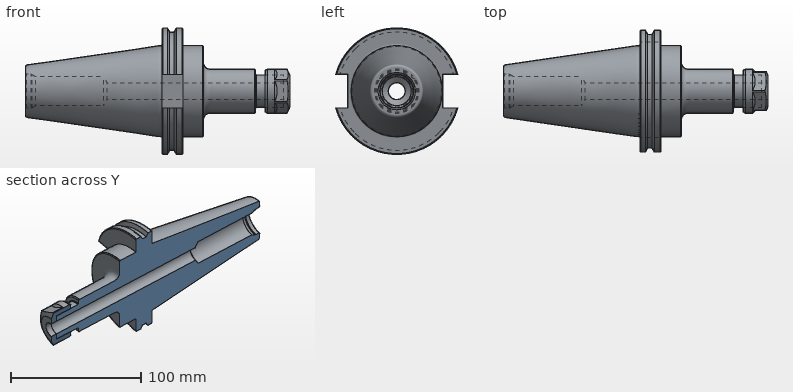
import cadquery as cq
import math


gauge_dia = 69.85
taper_ratio = 7 / 24
shank_end_x = -101.75
shank_end_dia = gauge_dia + taper_ratio * shank_end_x
shank_end_fillet = 2.0

land_start_x = 0.6
land_dia = gauge_dia + taper_ratio * land_start_x
root_fillet = 1.1

flange_dia = 97.25
flange_start_x = 3.2
flange_end_x = 19.1
flange_chamfer = 0.7
groove_center_x = 10.7
groove_width = 6.9
groove_bottom_dia = 91.0
groove_half_angle = 30

slot_width = 25.7
slot_floor_front = 35.5
slot_floor_back = 37.7

collar_dia = 70.2
collar_end_x = 35.0
collar_chamfer = 0.7
nose_dia = 34.0
nose_end_x = 75.0
nose_chamfer = 0.8
nose_fillet = 5.0
neck_dia = 25.0
neck_root_chamfer = 0.6

mouth_dia = 28.6
mouth_chamfer_depth = 0.7
counterbore_dia = 26.2
counterbore_depth = 4.1
step_dia = 25.6
step_length = 0.9
bore_dia = 22.23
bore_entry_half_angle = 30
bore_depth = 60.0
bore_bottom_half_angle = 60
through_dia = 12.75

nut_dia = 34.0
nut_start_x = 82.3
nut_end_x = 101.47
nut_back_chamfer_length = 1.7
nut_back_chamfer_height = 1.0
nut_hex_start_x = 89.6
nut_across_flats = 30.0
hexagon_sides = 6
nut_face_dia = 24.0
nut_face_chamfer_length = 2.3
nut_lip = 5.0
neck_end_x = nut_end_x - nut_lip


def turned(profile):
    """Revolve a closed half profile, drawn as (x, radius), about the X axis."""
    return profile.close().revolve(360, (0, 0, 0), (1, 0, 0))


def cone_length(big_dia, small_dia, half_angle):
    return (big_dia - small_dia) / 2 / math.tan(math.radians(half_angle))


def shank_blank():
    land_radius = land_dia / 2
    land_end_x = flange_start_x - root_fillet
    fillet_mid_run = root_fillet * math.sin(math.radians(45))
    fillet_mid_rise = root_fillet * (1 - math.cos(math.radians(45)))
    profile = (
        cq.Workplane("XY")
        .moveTo(shank_end_x, 0)
        .lineTo(shank_end_x, shank_end_dia / 2)
        .lineTo(land_start_x, land_radius)
        .lineTo(land_end_x, land_radius)
        .threePointArc(
            (land_end_x + fillet_mid_run, land_radius + fillet_mid_rise),
            (flange_start_x, land_radius + root_fillet),
        )
        .lineTo(flange_start_x, 0)
    )
    return turned(profile).faces("<X").edges().fillet(shank_end_fillet)


def flange():
    blank = (
        cq.Workplane("YZ", origin=(flange_start_x, 0, 0))
        .circle(flange_dia / 2)
        .extrude(flange_end_x - flange_start_x)
        .faces("<X or >X")
        .edges()
        .chamfer(flange_chamfer)
    )
    groove_depth = (flange_dia - groove_bottom_dia) / 2
    half_top = groove_width / 2
    half_bottom = half_top - groove_depth * math.tan(math.radians(groove_half_angle))
    groove = turned(
        cq.Workplane("XY")
        .moveTo(groove_center_x - half_top, flange_dia / 2)
        .lineTo(groove_center_x - half_bottom, groove_bottom_dia / 2)
        .lineTo(groove_center_x + half_bottom, groove_bottom_dia / 2)
        .lineTo(groove_center_x + half_top, flange_dia / 2)
    )
    return blank.cut(groove)


def driving_slots():
    slots = cq.Workplane("XY")
    slot_start_x = flange_start_x - root_fillet
    slot_length = flange_end_x - slot_start_x
    slot_depth = flange_dia / 2
    for side, floor in ((-1, slot_floor_front), (1, slot_floor_back)):
        center_y = side * (floor + slot_depth / 2)
        slot = cq.Workplane("XY").box(slot_length, slot_depth, slot_width)
        slots = slots.add(slot.translate((slot_start_x + slot_length / 2, center_y, 0)))
    return slots.combine()


def collar_and_nose():
    fillet_center_x = collar_end_x + nose_fillet
    fillet_center_radius = nose_dia / 2 + nose_fillet
    fillet_mid_offset = nose_fillet * math.sin(math.radians(45))
    fillet_mid = (fillet_center_x - fillet_mid_offset, fillet_center_radius - fillet_mid_offset)
    profile = (
        cq.Workplane("XY")
        .moveTo(flange_end_x, 0)
        .lineTo(flange_end_x, collar_dia / 2)
        .lineTo(collar_end_x - collar_chamfer, collar_dia / 2)
        .lineTo(collar_end_x, collar_dia / 2 - collar_chamfer)
        .lineTo(collar_end_x, fillet_center_radius)
        .threePointArc(fillet_mid, (fillet_center_x, nose_dia / 2))
        .lineTo(nose_end_x - nose_chamfer, nose_dia / 2)
        .lineTo(nose_end_x, nose_dia / 2 - nose_chamfer)
        .lineTo(nose_end_x, neck_dia / 2 + neck_root_chamfer)
        .lineTo(nose_end_x + neck_root_chamfer, neck_dia / 2)
        .lineTo(neck_end_x, neck_dia / 2)
        .lineTo(neck_end_x, 0)
    )
    return turned(profile)


def drawbar_bore():
    step_start_x = shank_end_x + counterbore_depth
    step_end_x = step_start_x + step_length
    bore_start_x = step_end_x + cone_length(step_dia, bore_dia, bore_entry_half_angle)
    bore_end_x = shank_end_x + bore_depth
    through_start_x = bore_end_x + cone_length(bore_dia, through_dia, bore_bottom_half_angle)
    profile = (
        cq.Workplane("XY")
        .moveTo(shank_end_x, 0)
        .lineTo(shank_end_x, mouth_dia / 2)
        .lineTo(shank_end_x + mouth_chamfer_depth, counterbore_dia / 2)
        .lineTo(step_start_x, counterbore_dia / 2)
        .lineTo(step_start_x, step_dia / 2)
        .lineTo(step_end_x, step_dia / 2)
        .lineTo(bore_start_x, bore_dia / 2)
        .lineTo(bore_end_x, bore_dia / 2)
        .lineTo(through_start_x, through_dia / 2)
        .lineTo(neck_end_x, through_dia / 2)
        .lineTo(neck_end_x, 0)
    )
    return turned(profile)


def make_holder():
    turned_body = shank_blank().union(flange()).union(collar_and_nose())
    return turned_body.cut(driving_slots()).cut(drawbar_bore())


def make_nut():
    envelope = turned(
        cq.Workplane("XY")
        .moveTo(nut_start_x, 0)
        .lineTo(nut_start_x, nut_dia / 2 - nut_back_chamfer_height)
        .lineTo(nut_start_x + nut_back_chamfer_length, nut_dia / 2)
        .lineTo(nut_end_x - nut_face_chamfer_length, nut_dia / 2)
        .lineTo(nut_end_x, nut_face_dia / 2)
        .lineTo(nut_end_x, 0)
    )
    shoulder = turned(
        cq.Workplane("XY")
        .moveTo(nut_start_x, 0)
        .lineTo(nut_start_x, nut_dia / 2)
        .lineTo(nut_hex_start_x, nut_dia / 2)
        .lineTo(nut_hex_start_x + nut_dia / 2, 0)
    )
    across_corners = nut_across_flats / math.cos(math.pi / hexagon_sides)
    hexagon = (
        cq.Workplane("YZ", origin=(nut_start_x, 0, 0))
        .transformed(rotate=(0, 0, 90))
        .polygon(hexagon_sides, across_corners)
        .extrude(nut_end_x - nut_start_x)
    )
    neck_recess = (
        cq.Workplane("YZ", origin=(nut_start_x, 0, 0))
        .circle(neck_dia / 2)
        .extrude(neck_end_x - nut_start_x)
    )
    opening = (
        cq.Workplane("YZ", origin=(neck_end_x, 0, 0))
        .circle(through_dia / 2)
        .extrude(nut_lip)
    )
    return envelope.intersect(shoulder.union(hexagon)).cut(neck_recess).cut(opening)


holder = make_holder()
nut = make_nut()
result = cq.Compound.makeCompound([holder.val(), nut.val()])